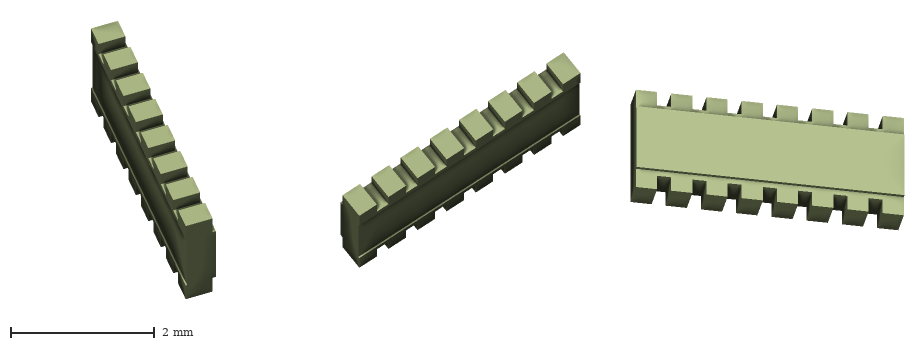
import cadquery as cq

length = 3.8
height = 1.6
thickness = 0.45
tooth_count = 8
tooth_width = 0.3
notch_depth = 0.22
band_height = 1.0
back_pad_thickness = 0.05
front_recess_depth = 0.023

tooth_pitch = (length - tooth_width) / (tooth_count - 1)
notch_width = tooth_pitch - tooth_width
body_thickness = thickness - back_pad_thickness
front_y = -thickness / 2
body_back_y = front_y + body_thickness


def block(size_x, size_y, size_z, center_x, start_y, center_z):
    """Box centred in X and Z that extends toward +Y from start_y."""
    center_y = start_y + size_y / 2
    return cq.Workplane("XY").box(size_x, size_y, size_z).translate((center_x, center_y, center_z))


body = block(length, body_thickness, height, 0, front_y, 0)
back_pad = block(length, back_pad_thickness, band_height, 0, body_back_y, 0)
result = body.union(back_pad)

result = result.cut(block(length, front_recess_depth, band_height, 0, front_y, 0))

notch_z = (height - notch_depth) / 2
for gap in range(tooth_count - 1):
    notch_x = (gap - (tooth_count - 2) / 2) * tooth_pitch
    for side in (-1, 1):
        notch = block(notch_width, body_thickness, notch_depth, notch_x, front_y, side * notch_z)
        result = result.cut(notch)